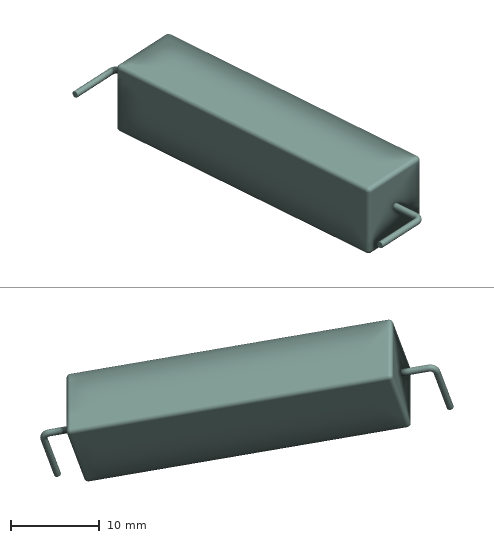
import cadquery as cq
import math

body_length = 38.0
body_side = 9.0
body_edge_radius = 0.5

lead_diameter = 0.8
lead_pitch = 45.72
lead_bend_radius = 0.8
lead_tip_y = -7.0


def make_body():
    """Square bar with every edge rounded."""
    return (
        cq.Workplane("XY")
        .box(body_length, body_side, body_side)
        .edges()
        .fillet(body_edge_radius)
    )


def make_right_lead():
    """Round wire leaving the +X end face on its centre, then bent towards -Y."""
    face_x = body_length / 2
    leg_x = lead_pitch / 2
    bend_start_x = leg_x - lead_bend_radius
    bend_middle = (
        bend_start_x + lead_bend_radius * math.sin(math.pi / 4),
        -lead_bend_radius * (1 - math.cos(math.pi / 4)),
    )
    wire_axis = (
        cq.Workplane("XY")
        .moveTo(face_x, 0)
        .lineTo(bend_start_x, 0)
        .threePointArc(bend_middle, (leg_x, -lead_bend_radius))
        .lineTo(leg_x, lead_tip_y)
    )
    return (
        cq.Workplane("YZ", origin=(face_x, 0, 0))
        .circle(lead_diameter / 2)
        .sweep(wire_axis)
    )


right_lead = make_right_lead()
left_lead = right_lead.mirror("YZ")
result = make_body().union(right_lead).union(left_lead)